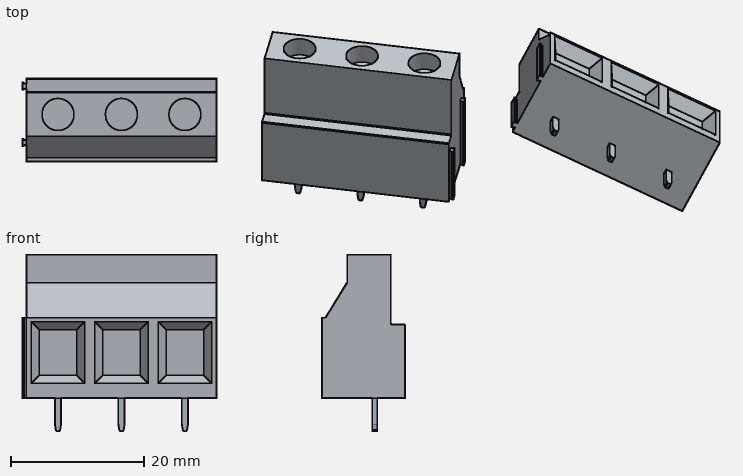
import cadquery as cq

overall_length = 29.1
rib_height = 0.58
housing_length = overall_length - rib_height
housing_depth = 12.5
housing_height = 21.53
ledge_depth = 0.55
ledge_z = 12.08
tower_front_y = 3.78
slope_top_z = 17.3
tower_rear_y = 10.35
step_z = 11.05
step_chamfer = 0.15

pole_count = 3
pole_pitch = 9.52

screw_hole_diameter = 4.8
screw_hole_depth = 3.03

pocket_width = 8.0
pocket_height = 9.25
pocket_bottom_z = 2.2
pocket_inset = 1.2
pocket_depth = 2.0

rib_width = 1.13
rib_lip = 0.1
rib_neck_height = 0.3
rib_neck_inset = 0.17
front_rib_y = 2.85
rear_rib_y = 11.32
front_rib_top_z = ledge_z
rear_rib_top_z = 9.05

pin_length = 4.98
pin_width = 0.95
pin_thickness = 0.81
pin_y = 7.95
pin_taper_start = 3.93
pin_taper_end = 4.75
pin_taper_width = 0.7
pin_tip_width = 0.38

pole_positions = [
    housing_length / 2 + (index - (pole_count - 1) / 2) * pole_pitch
    for index in range(pole_count)
]


def make_block():
    """Stepped side profile extruded along the housing length."""
    return (
        cq.Workplane("YZ")
        .moveTo(0, 0)
        .lineTo(housing_depth, 0)
        .lineTo(housing_depth, step_z - step_chamfer)
        .lineTo(housing_depth - step_chamfer, step_z)
        .lineTo(tower_rear_y + step_chamfer, step_z)
        .lineTo(tower_rear_y, step_z + step_chamfer)
        .lineTo(tower_rear_y, housing_height)
        .lineTo(tower_front_y, housing_height)
        .lineTo(tower_front_y, slope_top_z)
        .lineTo(ledge_depth, ledge_z)
        .lineTo(0, ledge_z)
        .close()
        .extrude(housing_length)
    )


def make_rib(center_y, top_z):
    """Vertical rib with a narrow neck and a flared outer lip."""
    half_width = rib_width / 2
    half_neck = half_width - rib_neck_inset
    half_outline = [
        (0, half_neck),
        (-rib_neck_height, half_neck),
        (-rib_height + rib_lip, half_width),
        (-rib_height, half_width),
    ]
    mirrored_half = [(x, -y) for x, y in reversed(half_outline)]
    return (
        cq.Workplane("XY")
        .polyline(half_outline + mirrored_half)
        .close()
        .extrude(top_z)
        .translate((0, center_y, 0))
    )


def make_pocket(center_x):
    """Cutter for a wire pocket that narrows towards its floor."""
    center_z = pocket_bottom_z + pocket_height / 2
    return (
        cq.Workplane("XZ", origin=(center_x, 0, center_z))
        .rect(pocket_width, pocket_height)
        .workplane(offset=-pocket_depth)
        .rect(pocket_width - 2 * pocket_inset, pocket_height - 2 * pocket_inset)
        .loft(ruled=True)
    )


def make_screw_hole(center_x):
    """Cutter for a flat-bottomed screw hole centred on the tower top."""
    center_y = (tower_front_y + tower_rear_y) / 2
    return (
        cq.Workplane("XY", origin=(center_x, center_y, housing_height))
        .circle(screw_hole_diameter / 2)
        .extrude(-screw_hole_depth)
    )


def make_housing():
    body = make_block()
    body = body.union(make_rib(front_rib_y, front_rib_top_z))
    body = body.union(make_rib(rear_rib_y, rear_rib_top_z))
    for center_x in pole_positions:
        body = body.cut(make_pocket(center_x))
        body = body.cut(make_screw_hole(center_x))
    return body


def make_pin(center_x):
    """Flat pin hanging from the underside, narrowed in two stages at its tip."""
    right_side = [
        (pin_width / 2, 0),
        (pin_width / 2, -pin_taper_start),
        (pin_taper_width / 2, -pin_taper_end),
        (pin_tip_width / 2, -pin_length),
    ]
    left_side = [(-x, z) for x, z in reversed(right_side)]
    return (
        cq.Workplane("XZ")
        .polyline(right_side + left_side)
        .close()
        .extrude(pin_thickness / 2, both=True)
        .translate((center_x, pin_y, 0))
    )


housing = make_housing()
pins = [make_pin(center_x) for center_x in pole_positions]

result = cq.Compound.makeCompound([housing.val(), *[pin.val() for pin in pins]])